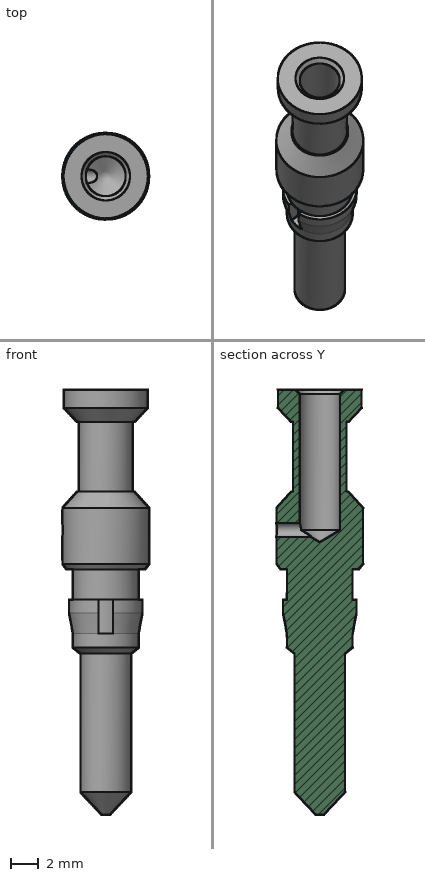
import cadquery as cq
import math

HEAD_RADIUS = 3.05
STEM_RADIUS = 1.97
HEAD_CONE_RADIUS = 2.1
BODY_RADIUS = 6.3 / 2
BODY_CONE_RADIUS = 2.05
BODY_CHAMFER = 0.3
NECK_RADIUS = 2.4
PIN_RADIUS = 1.85
TIP_RADIUS = 0.3

TOTAL_LENGTH = 30.8
HEAD_RIM_BOTTOM = 29.48
HEAD_CONE_BOTTOM = 28.45
BODY_CONE_TOP = 23.45
BODY_TOP = 22.25
BODY_BOTTOM = 17.77
BODY_CHAMFER_HEIGHT = 0.4
RING_TOP = 15.6
RING_TAPER_TOP = 14.63
RING_BOTTOM = 13.12
BAND_BOTTOM = 12.1
PIN_TOP = 11.67
TIP_CONE_TOP = 1.63

RING_RADIUS = 2.68
GROOVE_RADIUS = 1.8
RING_GAP = 1.02

BORE_RADIUS = 1.45
MOUTH_RADIUS = 1.75
MOUTH_DEPTH = 0.3
BORE_FLOOR = 20.65
DRILL_ANGLE = 118.0
INSPECTION_DIAMETER = 1.0


def revolve_profile(outline):
    """Turn a list of (radius, height) points about the Z axis."""
    return cq.Workplane("XZ").polyline(outline).close().revolve(360, (0, 0, 0), (0, 1, 0))


def make_contact():
    """Turned outline from the pin tip up to the head."""
    return revolve_profile([
        (0, 0),
        (TIP_RADIUS, 0),
        (PIN_RADIUS, TIP_CONE_TOP),
        (PIN_RADIUS, PIN_TOP),
        (NECK_RADIUS, BAND_BOTTOM),
        (NECK_RADIUS, RING_BOTTOM),
        (GROOVE_RADIUS, RING_BOTTOM),
        (GROOVE_RADIUS, RING_TOP),
        (NECK_RADIUS, RING_TOP),
        (NECK_RADIUS, BODY_BOTTOM),
        (BODY_RADIUS - BODY_CHAMFER, BODY_BOTTOM),
        (BODY_RADIUS, BODY_BOTTOM + BODY_CHAMFER_HEIGHT),
        (BODY_RADIUS, BODY_TOP),
        (BODY_CONE_RADIUS, BODY_CONE_TOP),
        (STEM_RADIUS, BODY_CONE_TOP),
        (STEM_RADIUS, HEAD_CONE_BOTTOM),
        (HEAD_CONE_RADIUS, HEAD_CONE_BOTTOM),
        (HEAD_RADIUS, HEAD_RIM_BOTTOM),
        (HEAD_RADIUS, TOTAL_LENGTH),
        (0, TOTAL_LENGTH),
    ])


def make_ring():
    """Tapered ring filling the groove, split by a gap on the -Y side."""
    ring = revolve_profile([
        (GROOVE_RADIUS, RING_BOTTOM),
        (NECK_RADIUS, RING_BOTTOM),
        (RING_RADIUS, RING_TAPER_TOP),
        (RING_RADIUS, RING_TOP),
        (GROOVE_RADIUS, RING_TOP),
    ])
    gap = cq.Workplane("XY", origin=(0, 0, RING_BOTTOM)).box(
        RING_GAP, RING_RADIUS, RING_TOP - RING_BOTTOM, centered=(True, False, False)
    ).translate((0, -RING_RADIUS, 0))
    return ring.cut(gap)


def make_bore():
    """Blind wire bore with a countersunk mouth and a drill-point floor."""
    point_depth = BORE_RADIUS / math.tan(math.radians(DRILL_ANGLE / 2))
    return revolve_profile([
        (0, BORE_FLOOR - point_depth),
        (BORE_RADIUS, BORE_FLOOR),
        (BORE_RADIUS, TOTAL_LENGTH - MOUTH_DEPTH),
        (MOUTH_RADIUS, TOTAL_LENGTH),
        (0, TOTAL_LENGTH),
    ])


def make_inspection_hole():
    """Radial hole from the -X side into the bottom of the bore."""
    return (
        cq.Workplane("YZ", origin=(0, 0, BORE_FLOOR))
        .circle(INSPECTION_DIAMETER / 2)
        .extrude(-BODY_RADIUS)
    )


result = make_contact().union(make_ring()).cut(make_bore()).cut(make_inspection_hole())